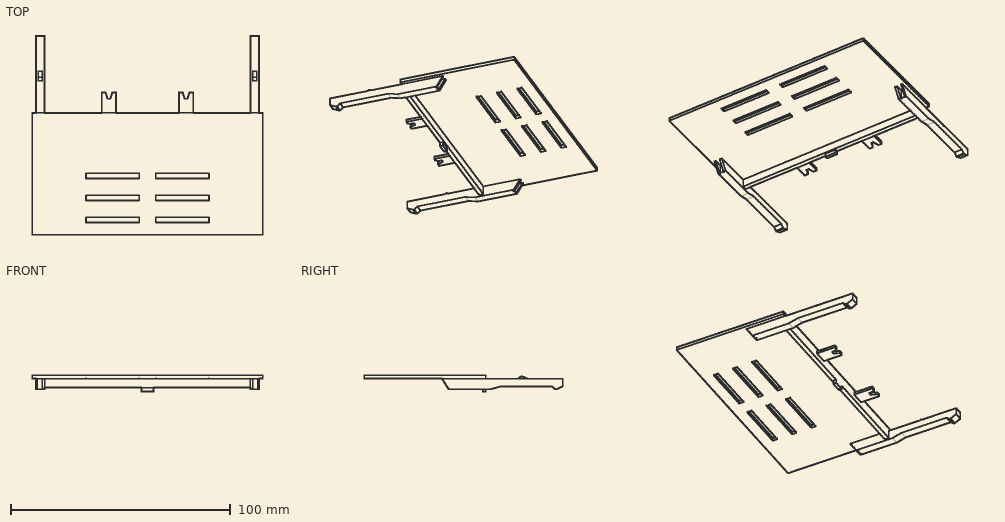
import cadquery as cq

plate_width = 105.0
plate_depth = 55.4
plate_thickness = 1.6

slot_length = 24.2
slot_width = 2.3
slot_column_pitch = 31.7
slot_row_pitch = 10.0
first_slot_row = 6.8
slot_row_count = 3

arm_width = 4.0
arm_inset = 1.7
arm_rear = 90.5
arm_front_top = 35.4
arm_front_bottom = 38.5
arm_belly_rear = 57.4
arm_neck_front = 62.1
arm_depth = 4.9
arm_neck_depth = 3.7
arm_centre = plate_width / 2 - arm_inset - arm_width / 2

hook_rear_depth = 3.5
hook_tip_rear = 87.6
hook_tip_front = 87.0
hook_front = 85.5

notch_width = 2.1
notch_post_centre = 40.0
notch_post_radius = 1.4
notch_offset = 0.2

catch_width = 1.9
catch_front = 70.0
catch_peak = 71.6
catch_rear = 74.4
catch_height = 1.2

wall_thickness = 2.1
wall_bottom = -5.7
tab_width = 5.5
tab_thickness = 1.5
tab_bottom = -7.5

tongue_width = 6.6
tongue_length = 9.3
tongue_thickness = 1.3
tongue_spacing = 35.1
tongue_top = -plate_thickness
fork_mouth = 2.9
fork_floor = 1.3
fork_depth = 2.8


def block(width, y_front, y_rear, z_bottom, z_top, x_centre=0.0):
    """Box given by its width about x_centre and its limits in Y and Z."""
    size = (width, y_rear - y_front, z_top - z_bottom)
    box = cq.Workplane("XY").box(*size, centered=(True, False, False))
    return box.translate((x_centre, y_front, z_bottom))


def side_profile(points, width, x_centre):
    """Solid of a (Y, Z) outline, extruded along X about x_centre."""
    return cq.Workplane("YZ", origin=(x_centre, 0, 0)).polyline(points).close().extrude(width / 2, both=True)


def make_plate():
    slot_centres = [
        (side * slot_column_pitch / 2, first_slot_row + row * slot_row_pitch)
        for side in (-1, 1)
        for row in range(slot_row_count)
    ]
    slots = (
        cq.Workplane("XY")
        .pushPoints(slot_centres)
        .rect(slot_length, slot_width)
        .extrude(-plate_thickness)
    )
    return block(plate_width, 0, plate_depth, -plate_thickness, 0).cut(slots)


def make_arm(side):
    x_centre = side * arm_centre
    top = -plate_thickness
    bottom = top - arm_depth
    neck = top - arm_neck_depth
    bar = side_profile(
        [
            (arm_front_top, top),
            (arm_front_bottom, bottom),
            (arm_belly_rear, bottom),
            (arm_neck_front, neck),
            (hook_front, neck),
            (hook_tip_front, bottom),
            (hook_tip_rear, bottom),
            (arm_rear, top - hook_rear_depth),
            (arm_rear, top),
        ],
        arm_width,
        x_centre,
    )
    catch = side_profile(
        [(catch_front, top), (catch_peak, top + catch_height), (catch_rear, top)],
        catch_width,
        x_centre,
    )
    notch_x = x_centre + side * notch_offset
    notch = block(notch_width, arm_front_top, notch_post_centre, bottom, top, notch_x)
    post = (
        cq.Workplane("XY", origin=(notch_x, notch_post_centre, bottom))
        .circle(notch_post_radius)
        .extrude(arm_depth)
    )
    return bar.cut(notch).union(post).union(catch)


def make_wall():
    wall_front = plate_depth - wall_thickness
    wall_span = 2 * arm_centre
    wall = block(wall_span, wall_front, plate_depth, wall_bottom, -plate_thickness)
    tab = block(tab_width, plate_depth - tab_thickness, plate_depth, tab_bottom, wall_bottom)
    return wall.union(tab)


def make_tongue(x_centre):
    rear = plate_depth + tongue_length
    tongue = block(
        tongue_width, plate_depth - wall_thickness, rear, tongue_top - tongue_thickness, tongue_top, x_centre
    )
    fork = (
        cq.Workplane("XY", origin=(x_centre, rear, tongue_top))
        .polyline(
            [
                (-fork_mouth / 2, 0),
                (-fork_floor / 2, -fork_depth),
                (fork_floor / 2, -fork_depth),
                (fork_mouth / 2, 0),
            ]
        )
        .close()
        .extrude(-tongue_thickness)
    )
    return tongue.cut(fork)


result = make_plate().union(make_wall())
for side in (-1, 1):
    result = result.union(make_arm(side))
    result = result.union(make_tongue(side * tongue_spacing / 2))